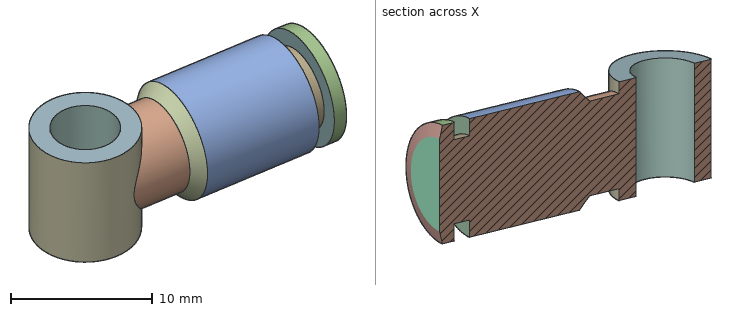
import cadquery as cq

ring_radius = 4.0
ring_bore_radius = 2.5
ring_height = 9.0

body_radius = 4.5
stem_radius = 3.6
neck_radius = 3.2
cap_face_radius = 3.5

arm_end = 19.5
cap_bevel_length = 0.25
cap_length = 1.3
neck_length = 1.3
cone_start = 6.5
cone_length = body_radius - stem_radius

cap_rim = arm_end - cap_bevel_length
cap_back = arm_end - cap_length
body_end = cap_back - neck_length
body_start = cone_start + cone_length


def make_ring():
    """Plain cylinder of the banjo ring, before boring."""
    return cq.Workplane("XY").circle(ring_radius).extrude(ring_height / 2, both=True)


def make_arm():
    """Stem, cone, body, neck and release cap, revolved about Y."""
    profile = [
        (0, 0),
        (stem_radius, 0),
        (stem_radius, cone_start),
        (body_radius, body_start),
        (body_radius, body_end),
        (neck_radius, body_end),
        (neck_radius, cap_back),
        (body_radius, cap_back),
        (body_radius, cap_rim),
        (cap_face_radius, arm_end),
        (0, arm_end),
    ]
    outline = cq.Workplane("XY").polyline(profile).close()
    return outline.revolve(360, (0, 0, 0), (0, 1, 0))


def make_ring_bore():
    """Cutter for the through bore, which also clears the stem inside the ring."""
    return cq.Workplane("XY").circle(ring_bore_radius).extrude(ring_height / 2, both=True)


result = make_ring().union(make_arm()).cut(make_ring_bore())